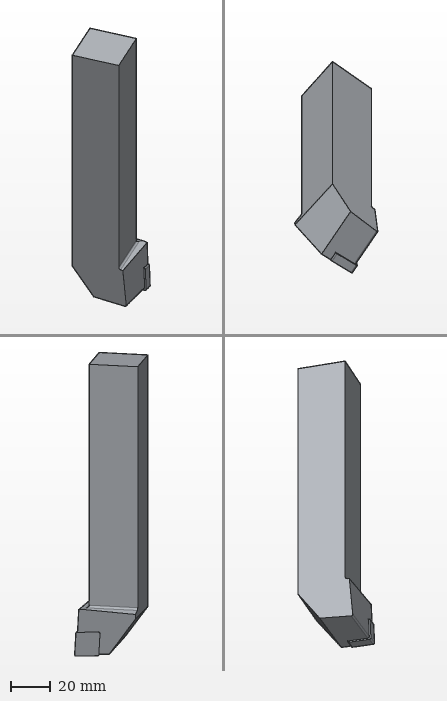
import cadquery as cq
import math

shank_side = 25.0
shank_top = 151.4

side_tilt = 5.7
down_tilt = 6.0
reach_x = 32.4
tip_y = 24.8

insert_edge = 12.9
insert_thickness = 4.7
insert_nose_radius = 0.8
lead_angle = 5.0
insert_overhang = 0.83

chamfer_high_z = 21.8
chamfer_angle = 54.0
head_corner_radius = 0.8
shoulder_z = 25.7
shoulder_slope = 11.0
shoulder_fillet = 1.2
head_reach = 45.4
select_margin = 0.2

tan_side = math.tan(math.radians(side_tilt))
tan_down = math.tan(math.radians(down_tilt))
tan_lead = math.tan(math.radians(lead_angle))
sin_lead = math.sin(math.radians(lead_angle))
cos_lead = math.cos(math.radians(lead_angle))
tan_chamfer = math.tan(math.radians(chamfer_angle))

half_corner_angle = math.radians(45 - lead_angle)
nose_loss = insert_nose_radius * (1 / (math.sqrt(2) * math.sin(half_corner_angle)) - 1)
tip_x = reach_x + nose_loss
tip_z = -nose_loss * math.cos(math.radians(down_tilt))

into_head = cq.Vector(-tan_side, -1, tan_down)
square_to_rake = cq.selectors.ParallelDirSelector(into_head)


def rake_plane():
    """Plane at the cutting corner: local x follows +X, local y follows +Z, extruding goes to -Y."""
    return cq.Workplane(
        cq.Plane(
            origin=(tip_x, tip_y, tip_z),
            xDir=(1, -tan_side, 0),
            normal=into_head,
        )
    )


def make_insert_blank():
    """Rhombic insert with all four corners rounded."""
    along_bottom = (-insert_edge * cos_lead, insert_edge * sin_lead)
    along_side = (-insert_edge * sin_lead, insert_edge * cos_lead)
    far_corner = (along_bottom[0] + along_side[0], along_bottom[1] + along_side[1])
    blank = rake_plane().polyline([(0, 0), along_side, far_corner, along_bottom]).close()
    blank = blank.extrude(insert_thickness)
    return blank.edges(square_to_rake).fillet(insert_nose_radius)


def shoulder_profile(plane):
    """Head envelope: level over the shank, then sloping down outside it."""
    drop = (head_reach - shank_side) * math.tan(math.radians(shoulder_slope))
    outline = [
        (0, -head_reach),
        (head_reach, -head_reach),
        (head_reach, shoulder_z - drop),
        (shank_side, shoulder_z),
        (0, shoulder_z),
    ]
    return cq.Workplane(plane).polyline(outline).close()


def make_head():
    """Head flanks square to the rake plane, trimmed to the shank's two outer faces and the shoulder."""
    corner_x = -insert_overhang / (cos_lead - sin_lead)
    corner_y = -corner_x
    side_top = (corner_x - head_reach * tan_lead, corner_y + head_reach)
    chamfer_at_corner = chamfer_high_z - tip_z - (corner_x + tip_x) * tan_chamfer
    chamfer_foot_x = corner_x - (corner_y - chamfer_at_corner) / (tan_chamfer - tan_lead)
    chamfer_foot = (chamfer_foot_x, corner_y + (corner_x - chamfer_foot_x) * tan_lead)
    chamfer_end = (chamfer_foot_x - head_reach, chamfer_foot[1] + head_reach * tan_chamfer)
    outline = [(corner_x, corner_y), side_top, chamfer_end, chamfer_foot]
    flanks = rake_plane().polyline(outline).close().extrude(head_reach)
    flanks = flanks.edges(square_to_rake).edges(">X").fillet(head_corner_radius)
    envelope_x = shoulder_profile("XZ").extrude(-head_reach)
    envelope_y = shoulder_profile("YZ").extrude(head_reach)
    return flanks.intersect(envelope_x).intersect(envelope_y)


def make_holder(insert_blank):
    """Shank and head in one piece, with a pocket that fits the insert."""
    shank = (
        cq.Workplane("XY", origin=(0, 0, shoulder_z))
        .rect(shank_side, shank_side, centered=False)
        .extrude(shank_top - shoulder_z)
    )
    holder = make_head().union(shank)
    shoulder_edges = cq.selectors.BoxSelector(
        (-select_margin, -select_margin, shoulder_z - select_margin),
        (shank_side + select_margin, shank_side + select_margin, shoulder_z + select_margin),
    )
    holder = holder.edges(shoulder_edges).fillet(shoulder_fillet)
    return holder.cut(insert_blank)


insert = make_insert_blank()
holder = make_holder(insert)

result = cq.Compound.makeCompound([holder.val(), insert.val()])